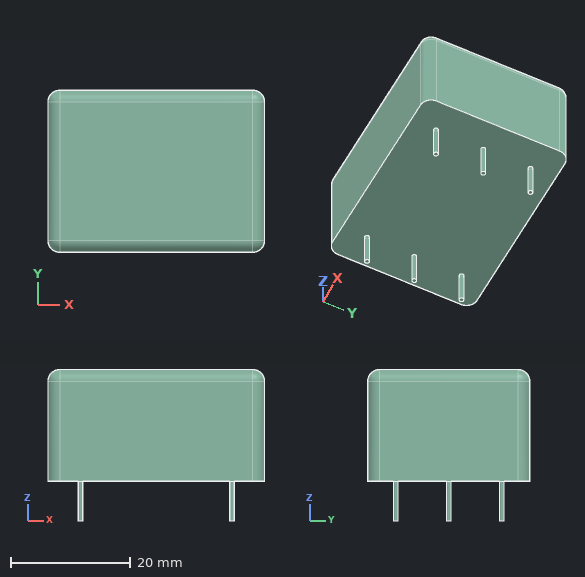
import cadquery as cq

case_length = 36.32
case_width = 27.18
total_height = 25.4
pin_length = 6.65
case_height = total_height - pin_length
edge_radius = 2.0

pin_diameter = 0.79
pin_column_spacing = 25.4
pin_row_spacing = 8.89


def make_case():
    """Rectangular case, bottom at Z = 0, rounded on every edge except the bottom ones."""
    block = cq.Workplane("XY").box(case_length, case_width, case_height, centered=(True, True, False))
    return block.edges("|Z or >Z").fillet(edge_radius)


def make_pins():
    """Two columns of three round pins hanging below the case."""
    columns = (-pin_column_spacing / 2, pin_column_spacing / 2)
    rows = (-pin_row_spacing, 0, pin_row_spacing)
    centres = [(x, y) for x in columns for y in rows]
    return cq.Workplane("XY").pushPoints(centres).circle(pin_diameter / 2).extrude(-pin_length)


result = make_case().union(make_pins())